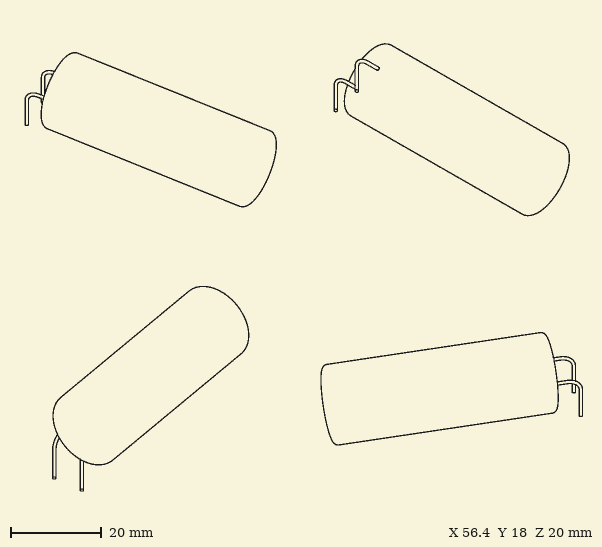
import cadquery as cq

can_diameter = 18.0
can_edge_radius = 1.0

wire_diameter = 0.8
lead_pitch = 7.5
bend_radius = 3.0
lead_reach = 6.0
lead_drop = 11.0

overall_length = 56.4
can_length = overall_length - lead_reach - wire_diameter / 2


def make_can():
    """Cylindrical can with both rims rounded."""
    return (
        cq.Workplane("YZ")
        .circle(can_diameter / 2)
        .extrude(can_length)
        .faces("<X or >X")
        .edges()
        .fillet(can_edge_radius)
    )


def make_lead(y):
    """Round wire starting on the can face at the given Y."""
    centerline = (
        cq.Workplane("XZ", origin=(0, y, 0))
        .moveTo(0, 0)
        .lineTo(bend_radius - lead_reach, 0)
        .tangentArcPoint((-lead_reach, -bend_radius), relative=False)
        .lineTo(-lead_reach, -lead_drop)
    )
    return cq.Workplane("YZ", origin=(0, y, 0)).circle(wire_diameter / 2).sweep(centerline)


can = make_can()
leads = [make_lead(side * lead_pitch / 2) for side in (-1, 1)]

result = cq.Compound.makeCompound([can.val(), *[lead.val() for lead in leads]])